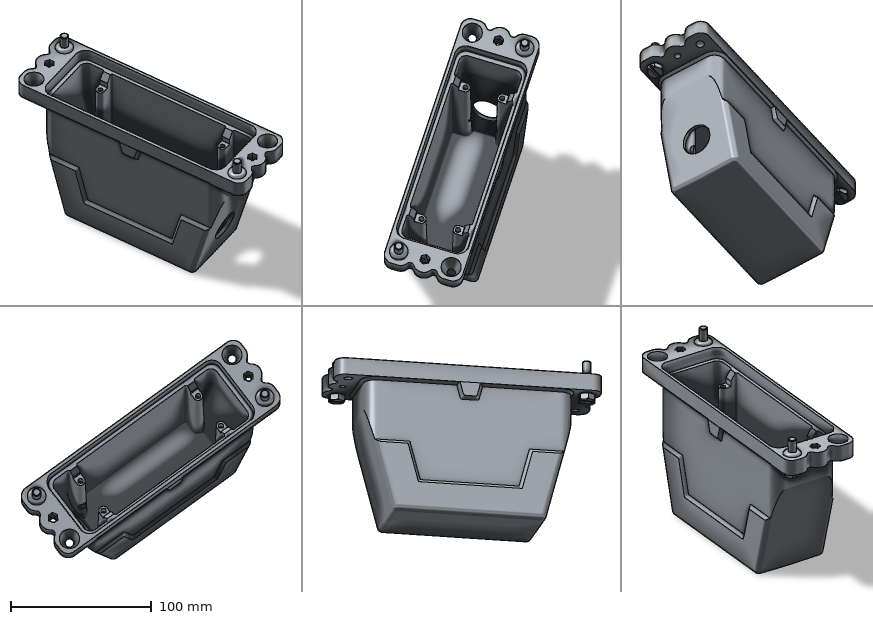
import cadquery as cq
import math


FLANGE_HALF_LENGTH = 96.5
FLANGE_HALF_WIDTH = 29.0
FLANGE_THICKNESS = 12.3
CORNER_LOBE_RADIUS = 7.2
CORNER_LOBE_CENTER_Y = 17.1
NOTCH_RADIUS = 2.9
NOTCH_CENTER = (94.9, 8.7)
UNDERSIDE_CHAMFER = 2.0

BODY_HALF_LENGTH = 75.3
BODY_HALF_WIDTH = 26.6
BODY_CORNER_RADIUS = 9.1
HOOD_HALF_WIDTH = 28.95
HOOD_DEPTH = 111.1
BOTTOM_CROWN = 0.5
HOOD_FILLET = 4.0
TAPER_START_DEPTH = 34.8
END_SLOPE = math.radians(15)

RAISED_HEIGHT = HOOD_HALF_WIDTH - BODY_HALF_WIDTH
FLANK_ANGLE = 45
SKIRT_TOP_DEPTH = 58.4
SKIRT_NOTCH_TOP_HALF = 43.4
SKIRT_NOTCH_DEPTH = 86.5
SKIRT_CORNER_RADIUS = 1.5
TAB_TOP_HALF = 9.9
TAB_DEPTH = 24.6
TAB_CORNER_RADIUS = 3.0

RIM_HALF_LENGTH = 75.9
RIM_HALF_WIDTH = 26.6
RIM_CORNER_RADIUS = 8.0
RIM_STEP = 0.4
RIM_LEAD_IN_HEIGHT = 2.3
RIM_WALL_HEIGHT = 4.2
LEDGE_DEPTH = 8.8
CAVITY_HALF_LENGTH = 71.9
CAVITY_HALF_WIDTH = 23.2
CAVITY_CORNER_RADIUS = 5.5
CAVITY_FLOOR_HALF_WIDTH = 22.2
CAVITY_FLOOR_FILLET = 1.0
CAVITY_END_BEND_RADIUS = 15.0
FLOOR_DEPTH = 107.5
FLOOR_HALF_LENGTH = 52.9
CAVITY_TAPER_HALF_LENGTH = 70.7
CAVITY_TAPER_DEPTH = FLOOR_DEPTH - (CAVITY_TAPER_HALF_LENGTH - FLOOR_HALF_LENGTH) / math.tan(END_SLOPE)

POST_X = 52.0
POST_Y = 13.6
POST_FLOOR_RADIUS = 4.6
POST_DRAFT = 0.85
POST_WALL_FILLET = 1.5
POST_TOP_DEPTH = 18.6
POST_HOLE_DIAMETER = 3.5
POST_HOLE_DEPTH = 10.0
GUSSET_TOP_Y = 21.9
GUSSET_FOOT_Y = 18.0
GUSSET_FOOT_DEPTH = 14.3

FASTENER_X = 86.5
FASTENER_Y = 19.5
COUNTERSINK_DIAMETER = 14.2
SCREW_DIAMETER = 6.0
SCREW_HEIGHT = 11.6
SCREW_TIP_CHAMFER = 0.6
COLLAR_HEIGHT = 2.0
COLLAR_RADIUS = 6.6
COLLAR_SHOULDER_RADIUS = 5.6
COLLAR_SHOULDER_HEIGHT = 1.4
HEAD_ACROSS_FLATS = 10.5
HEAD_CORNER_DIAMETER = 12.0
HEAD_CHAMFER = 0.6
HEAD_BOTTOM_DEPTH = 17.5
WASHER_FACE_DIAMETER = 10.0
WASHER_FACE_HEIGHT = 0.6
HEAD_SLOT_WIDTH = 2.0
HEAD_SLOT_DEPTH = 2.4
NUT_ACROSS_CORNERS = 7.4
NUT_POCKET_DEPTH = 7.0
NUT_HOLE_DIAMETER = 4.6

CABLE_HOLE_DIAMETER = 22.6
CABLE_HOLE_INNER_X = 60.5
CABLE_HOLE_CUT_LENGTH = 20.0


def rounded_block(half_length, half_width, corner_radius, top_depth, bottom_depth, draft=0):
    """Rounded rectangular block reaching down from top_depth to bottom_depth."""
    return (
        cq.Workplane("XY", origin=(0, 0, -top_depth))
        .sketch()
        .rect(2 * half_length, 2 * half_width)
        .vertices()
        .fillet(corner_radius)
        .finalize()
        .extrude(top_depth - bottom_depth, taper=draft)
    )


def cylinder(x, y, diameter, bottom, top):
    return cq.Workplane("XY", origin=(x, y, bottom)).circle(diameter / 2).extrude(top - bottom)


def extrude_both_ways(plane, points, half_depth):
    return cq.Workplane(plane).polyline(points).close().extrude(half_depth, both=True)


def both_sides(feature):
    """A feature on the -Y side together with its mirror image on the +Y side."""
    return feature.union(feature.mirror("XZ"))


def point_towards(start, end, distance):
    length = math.dist(start, end)
    return tuple(s + (e - s) * distance / length for s, e in zip(start, end))


def make_flange():
    """Flange plate whose ends are three tangent lobes joined by concave notches."""
    corner_center = (FLANGE_HALF_LENGTH - CORNER_LOBE_RADIUS, CORNER_LOBE_CENTER_Y)
    corner_y = FLANGE_HALF_WIDTH - CORNER_LOBE_RADIUS
    offset = FLANGE_HALF_LENGTH - NOTCH_CENTER[0]
    middle_radius = (offset**2 + NOTCH_CENTER[1] ** 2 - NOTCH_RADIUS**2) / (2 * (offset + NOTCH_RADIUS))
    middle_center = (FLANGE_HALF_LENGTH - middle_radius, 0)
    notch_bottom = (NOTCH_CENTER[0] - NOTCH_RADIUS, NOTCH_CENTER[1])
    corner_joint = point_towards(corner_center, NOTCH_CENTER, CORNER_LOBE_RADIUS)
    middle_joint = point_towards(middle_center, NOTCH_CENTER, middle_radius)
    quarter = (
        cq.Workplane("XY")
        .moveTo(0, 0)
        .lineTo(0, FLANGE_HALF_WIDTH)
        .lineTo(corner_center[0], FLANGE_HALF_WIDTH)
        .tangentArcPoint((FLANGE_HALF_LENGTH, corner_y), relative=False)
        .lineTo(FLANGE_HALF_LENGTH, CORNER_LOBE_CENTER_Y)
        .tangentArcPoint(corner_joint, relative=False)
        .threePointArc(notch_bottom, middle_joint)
        .tangentArcPoint((FLANGE_HALF_LENGTH, 0), relative=False)
        .close()
        .extrude(-FLANGE_THICKNESS)
    )
    half = quarter.union(quarter.mirror("XZ"))
    return half.union(half.mirror("YZ")).clean()


def make_tapered_block():
    """Full-width wedge with sloping ends, a slightly crowned bottom and rounded edges."""
    def half_length_at(depth):
        return BODY_HALF_LENGTH - (depth - TAPER_START_DEPTH) * math.tan(END_SLOPE)

    top = half_length_at(0)
    bottom = half_length_at(HOOD_DEPTH)
    side_profile = [(-top, 0), (-bottom, -HOOD_DEPTH), (bottom, -HOOD_DEPTH), (top, 0)]
    edge_depth = HOOD_DEPTH - BOTTOM_CROWN
    end_profile = [
        (-HOOD_HALF_WIDTH, 0),
        (-HOOD_HALF_WIDTH, -edge_depth),
        (0, -HOOD_DEPTH),
        (HOOD_HALF_WIDTH, -edge_depth),
        (HOOD_HALF_WIDTH, 0),
    ]
    wedge = extrude_both_ways("XZ", side_profile, HOOD_HALF_WIDTH)
    crowned = extrude_both_ways("YZ", end_profile, top)
    block = wedge.intersect(crowned)
    bottom_ridge = "(|X and (not (>Y or <Y)))"
    top_end_edges = "|Y"
    return block.edges(f"not ({top_end_edges} or >Z or {bottom_ridge})").fillet(HOOD_FILLET)


def make_skirt(tapered_block):
    """Lower skirt standing proud of both long sides, notched in the middle."""
    reach = 2 * BODY_HALF_LENGTH

    def cut_outline(offset):
        """Outline of the region above the skirt, its lower border moved outwards by the offset."""
        top = SKIRT_TOP_DEPTH + offset
        bottom = SKIRT_NOTCH_DEPTH + offset
        top_half = SKIRT_NOTCH_TOP_HALF + offset * (1 / math.cos(END_SLOPE) - math.tan(END_SLOPE))
        bottom_half = top_half - (bottom - top) * math.tan(END_SLOPE)
        right = [(bottom_half, -bottom), (top_half, -top), (reach, -top), (reach, reach)]
        left = [(-x, z) for x, z in reversed(right)]
        return left + right

    cut = (
        cq.Workplane("XZ", origin=(0, -BODY_HALF_WIDTH, 0))
        .polyline(cut_outline(0))
        .close()
        .workplane(offset=RAISED_HEIGHT)
        .polyline(cut_outline(RAISED_HEIGHT))
        .close()
        .loft(ruled=True)
        .edges("not (#Y or |Y)")
        .fillet(SKIRT_CORNER_RADIUS)
    )
    core = cq.Workplane("XY").box(2 * reach, 2 * BODY_HALF_WIDTH, 2 * SKIRT_TOP_DEPTH)
    return tapered_block.cut(both_sides(cut)).cut(core)


def make_tab():
    """Finger tab hanging below the middle of the flange on each long side."""
    root_depth = FLANGE_THICKNESS / 2
    root_half = TAB_TOP_HALF + (FLANGE_THICKNESS - root_depth) * math.tan(END_SLOPE)
    bottom_half = TAB_TOP_HALF - (TAB_DEPTH - FLANGE_THICKNESS) * math.tan(END_SLOPE)
    outline = [
        (-root_half, -root_depth),
        (-bottom_half, -TAB_DEPTH),
        (bottom_half, -TAB_DEPTH),
        (root_half, -root_depth),
    ]
    tab = (
        cq.Workplane("XZ", origin=(0, -BODY_HALF_WIDTH, 0))
        .polyline(outline)
        .close()
        .extrude(RAISED_HEIGHT, taper=FLANK_ANGLE)
        .edges("not #Y")
        .fillet(TAB_CORNER_RADIUS)
    )
    return both_sides(tab)


def make_housing():
    tapered_block = make_tapered_block()
    body = rounded_block(BODY_HALF_LENGTH, BODY_HALF_WIDTH, BODY_CORNER_RADIUS, 0, HOOD_DEPTH)
    body = body.intersect(tapered_block)
    collar = rounded_block(
        BODY_HALF_LENGTH + UNDERSIDE_CHAMFER,
        BODY_HALF_WIDTH + UNDERSIDE_CHAMFER,
        BODY_CORNER_RADIUS + UNDERSIDE_CHAMFER,
        FLANGE_THICKNESS,
        FLANGE_THICKNESS + UNDERSIDE_CHAMFER,
        draft=FLANK_ANGLE,
    )
    return body.union(make_skirt(tapered_block)).union(collar).union(make_tab())


def make_posts():
    """Four drafted posts grown from the cavity floor, each merging into a long wall."""
    wall_y = CAVITY_HALF_WIDTH + POST_FLOOR_RADIUS
    post = (
        cq.Workplane("XY", origin=(0, 0, -FLOOR_DEPTH))
        .moveTo(POST_X - POST_FLOOR_RADIUS, wall_y)
        .lineTo(POST_X - POST_FLOOR_RADIUS, POST_Y)
        .threePointArc((POST_X, POST_Y - POST_FLOOR_RADIUS), (POST_X + POST_FLOOR_RADIUS, POST_Y))
        .lineTo(POST_X + POST_FLOOR_RADIUS, wall_y)
        .close()
        .extrude(FLOOR_DEPTH - LEDGE_DEPTH, taper=POST_DRAFT)
    )
    wall_profile = [
        (CAVITY_FLOOR_HALF_WIDTH, -FLOOR_DEPTH),
        (CAVITY_HALF_WIDTH, -LEDGE_DEPTH),
        (wall_y, -LEDGE_DEPTH),
        (wall_y, -FLOOR_DEPTH),
    ]
    wall_reach = 2 * POST_FLOOR_RADIUS
    wall = extrude_both_ways("YZ", wall_profile, wall_reach).translate((POST_X, 0, 0))
    roots = cq.selectors.BoxSelector(
        (POST_X - POST_FLOOR_RADIUS, CAVITY_FLOOR_HALF_WIDTH, -FLOOR_DEPTH),
        (POST_X + POST_FLOOR_RADIUS, CAVITY_HALF_WIDTH, -LEDGE_DEPTH),
    )
    post = post.union(wall).edges(roots).edges("not (|X or |Y)").fillet(POST_WALL_FILLET)
    above_post = [
        (0, 0),
        (0, -POST_TOP_DEPTH),
        (GUSSET_FOOT_Y, -POST_TOP_DEPTH),
        (GUSSET_FOOT_Y, -GUSSET_FOOT_DEPTH),
        (GUSSET_TOP_Y, -LEDGE_DEPTH),
        (GUSSET_TOP_Y, 0),
    ]
    post = post.cut(extrude_both_ways("YZ", above_post, BODY_HALF_LENGTH))
    post = post.cut(cylinder(
        POST_X, POST_Y, POST_HOLE_DIAMETER, -POST_TOP_DEPTH - POST_HOLE_DEPTH, -POST_TOP_DEPTH
    ))
    pair = post.union(post.mirror("XZ"))
    return pair.union(pair.mirror("YZ"))


def make_pocket():
    """Drafted pocket with sloping ends and rounded corners, around which the posts are left standing."""
    end_limits = [
        (-CAVITY_HALF_LENGTH, -LEDGE_DEPTH),
        (-CAVITY_TAPER_HALF_LENGTH, -CAVITY_TAPER_DEPTH),
        (-FLOOR_HALF_LENGTH, -FLOOR_DEPTH),
        (FLOOR_HALF_LENGTH, -FLOOR_DEPTH),
        (CAVITY_TAPER_HALF_LENGTH, -CAVITY_TAPER_DEPTH),
        (CAVITY_HALF_LENGTH, -LEDGE_DEPTH),
    ]
    side_limits = [
        (-CAVITY_HALF_WIDTH, -LEDGE_DEPTH),
        (-CAVITY_FLOOR_HALF_WIDTH, -FLOOR_DEPTH),
        (CAVITY_FLOOR_HALF_WIDTH, -FLOOR_DEPTH),
        (CAVITY_HALF_WIDTH, -LEDGE_DEPTH),
    ]
    pocket = extrude_both_ways("XZ", end_limits, CAVITY_HALF_WIDTH)
    pocket = pocket.edges("|Y and (not <Z) and (not >Z)").fillet(CAVITY_END_BEND_RADIUS)
    pocket = pocket.intersect(extrude_both_ways("YZ", side_limits, CAVITY_HALF_LENGTH))
    pocket = pocket.edges("not (|X or |Y)").fillet(CAVITY_CORNER_RADIUS)
    pocket = pocket.cut(make_posts())
    return pocket.faces("<Z").edges().fillet(CAVITY_FLOOR_FILLET)


def make_cavity():
    """Stepped opening leading down into the pocket."""
    wall_top = RIM_LEAD_IN_HEIGHT
    wall_bottom = wall_top + RIM_WALL_HEIGHT

    def rim_band(inset, top_depth, bottom_depth, narrowing):
        draft = math.degrees(math.atan2(narrowing, bottom_depth - top_depth))
        return rounded_block(
            RIM_HALF_LENGTH - inset,
            RIM_HALF_WIDTH - inset,
            RIM_CORNER_RADIUS - inset,
            top_depth,
            bottom_depth,
            draft,
        )

    lead_in = rim_band(0, 0, wall_top, RIM_STEP)
    wall = rim_band(RIM_STEP, wall_top, wall_bottom, 0)
    step = rim_band(RIM_STEP, wall_bottom, LEDGE_DEPTH, RIM_STEP)
    return lead_in.union(wall).union(step).union(make_pocket())


def make_cable_hole():
    """Round entry drilled square to the sloping +X end wall."""
    depth = FLOOR_DEPTH - (CABLE_HOLE_INNER_X - FLOOR_HALF_LENGTH) / math.tan(END_SLOPE)
    wall_normal = (math.cos(END_SLOPE), 0, -math.sin(END_SLOPE))
    plane = cq.Plane(origin=(CABLE_HOLE_INNER_X, 0, -depth), xDir=(0, 1, 0), normal=wall_normal)
    return cq.Workplane(plane).circle(CABLE_HOLE_DIAMETER / 2).extrude(CABLE_HOLE_CUT_LENGTH / 2, both=True)


def make_countersink(x, y):
    """Conical screw hole narrowing through the full flange thickness."""
    return (
        cq.Workplane("XY", origin=(x, y, 0))
        .circle(COUNTERSINK_DIAMETER / 2)
        .workplane(offset=-FLANGE_THICKNESS)
        .circle(SCREW_DIAMETER / 2)
        .loft(ruled=True)
    )


def make_nut_hole(x):
    hole = cylinder(x, 0, NUT_HOLE_DIAMETER, -FLANGE_THICKNESS, 0)
    pocket = cq.Workplane("XY", origin=(x, 0, 0)).polygon(6, NUT_ACROSS_CORNERS).extrude(-NUT_POCKET_DEPTH)
    return hole.union(pocket)


def make_screw(x, y):
    """Captive screw: slotted hex head below the flange, rounded collar and stud above it."""
    stud = cylinder(x, y, SCREW_DIAMETER, -FLANGE_THICKNESS, SCREW_HEIGHT)
    stud = stud.faces(">Z").chamfer(SCREW_TIP_CHAMFER)
    collar = (
        cq.Workplane("XZ", origin=(x, y, 0))
        .moveTo(0, -FLANGE_THICKNESS)
        .lineTo(COUNTERSINK_DIAMETER / 2, -FLANGE_THICKNESS)
        .lineTo(COUNTERSINK_DIAMETER / 2, 0)
        .lineTo(COLLAR_RADIUS, 0)
        .threePointArc(
            (COLLAR_SHOULDER_RADIUS, COLLAR_SHOULDER_HEIGHT), (SCREW_DIAMETER / 2, COLLAR_HEIGHT)
        )
        .lineTo(0, COLLAR_HEIGHT)
        .close()
        .revolve(360, (0, 0, 0), (0, 1, 0))
    )
    head_top = -FLANGE_THICKNESS - WASHER_FACE_HEIGHT
    washer_face = cylinder(x, y, WASHER_FACE_DIAMETER, head_top, -FLANGE_THICKNESS)
    across_corners = HEAD_ACROSS_FLATS / math.cos(math.pi / 6)
    hexagon = (
        cq.Workplane("XY", origin=(x, y, -HEAD_BOTTOM_DEPTH))
        .transformed(rotate=(0, 0, 90))
        .polygon(6, across_corners)
        .extrude(HEAD_BOTTOM_DEPTH + head_top)
    )
    turned_blank = cylinder(x, y, HEAD_CORNER_DIAMETER, -HEAD_BOTTOM_DEPTH, head_top)
    head = hexagon.intersect(turned_blank.faces("<Z").chamfer(HEAD_CHAMFER))
    slot = (
        cq.Workplane("XY", origin=(x, y, -HEAD_BOTTOM_DEPTH))
        .rect(across_corners, HEAD_SLOT_WIDTH)
        .extrude(HEAD_SLOT_DEPTH)
    )
    head = head.cut(slot)
    return stud.union(collar).union(washer_face).union(head)


result = make_flange().union(make_housing()).cut(make_cavity()).cut(make_cable_hole())
for side in (-1, 1):
    result = result.cut(make_nut_hole(side * FASTENER_X))
    result = result.cut(make_countersink(side * FASTENER_X, side * FASTENER_Y))
    result = result.union(make_screw(side * FASTENER_X, -side * FASTENER_Y))